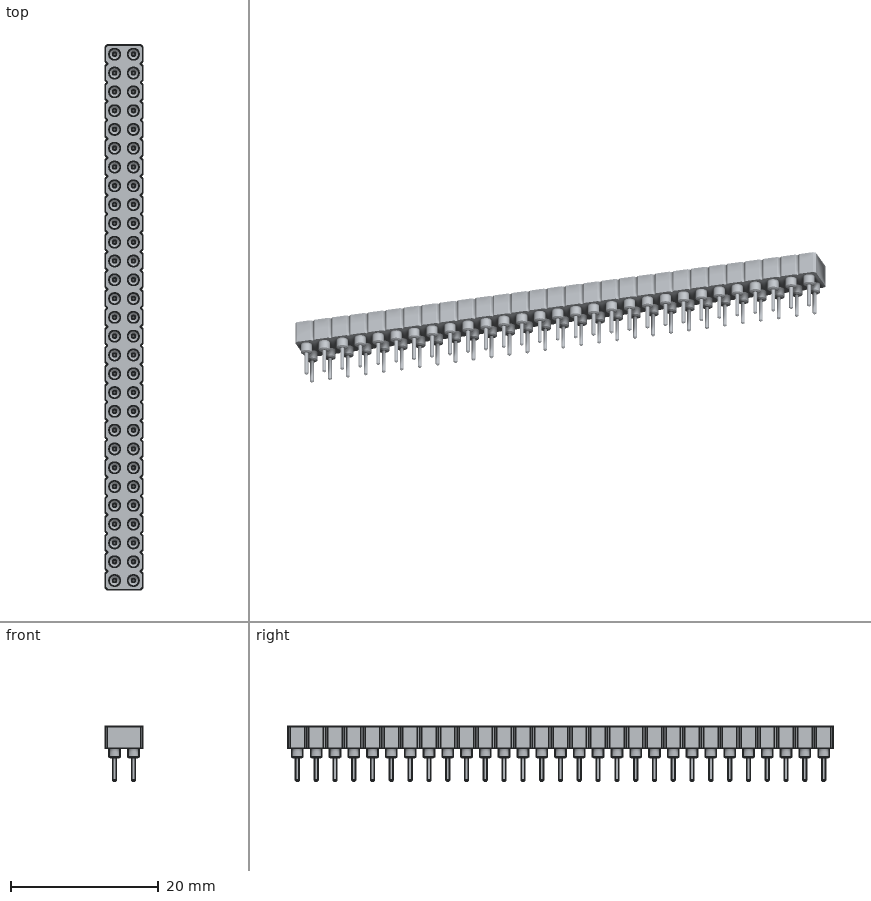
import cadquery as cq

pitch = 2.54
row_count = 29
column_count = 2
housing_height = 2.97
corner_chamfer = 0.3

overall_height = 7.43
collar_diameter = 1.52
collar_length = 1.27
collar_chamfer_height = 0.15
collar_chamfer_inset = 0.25
pin_diameter = 0.51
tip_chamfer = 0.19

funnel_diameter = 1.52
funnel_depth = 0.58
bore_diameter = 0.51
bore_depth = 2.0

housing_width = column_count * pitch
housing_length = row_count * pitch
pin_end_z = housing_height - overall_height


def centred_positions(count):
    """Pitch-spaced coordinates, symmetric about zero."""
    return [(index - (count - 1) / 2) * pitch for index in range(count)]


contact_points = [
    (x, y)
    for x in centred_positions(column_count)
    for y in centred_positions(row_count)
]


def make_housing():
    """Block with a V notch between rows and chamfered end corners."""
    half_width = housing_width / 2
    flat_x = half_width - corner_chamfer
    half_flat = pitch / 2 - corner_chamfer
    left_side = [(-flat_x, -housing_length / 2)]
    for y in centred_positions(row_count):
        left_side.append((-half_width, y - half_flat))
        left_side.append((-half_width, y + half_flat))
        left_side.append((-flat_x, y + pitch / 2))
    right_side = [(-x, y) for x, y in reversed(left_side)]
    return cq.Workplane("XY").polyline(left_side + right_side).close().extrude(housing_height)


def revolve_about_z(profile):
    """Full turn of a closed (radius, height) profile about the Z axis."""
    outline = cq.Workplane("XZ").polyline(profile).close()
    return outline.revolve(360, (0, 0, 0), (0, 1, 0))


def make_contact():
    """Collar and pin below the housing, revolved about the contact axis."""
    collar_radius = collar_diameter / 2
    pin_radius = pin_diameter / 2
    profile = [
        (0, 0),
        (collar_radius, 0),
        (collar_radius, collar_chamfer_height - collar_length),
        (collar_radius - collar_chamfer_inset, -collar_length),
        (pin_radius, -collar_length),
        (pin_radius, pin_end_z + tip_chamfer),
        (pin_radius - tip_chamfer, pin_end_z),
        (0, pin_end_z),
    ]
    return revolve_about_z(profile)


def make_socket():
    """Conical lead-in narrowing to a blind bore, as a cutting body."""
    bore_radius = bore_diameter / 2
    profile = [
        (0, housing_height),
        (funnel_diameter / 2, housing_height),
        (bore_radius, housing_height - funnel_depth),
        (bore_radius, housing_height - bore_depth),
        (0, housing_height - bore_depth),
    ]
    return revolve_about_z(profile)


def at_contacts(body):
    """Copy a body to every contact position."""
    shape = body.val()
    return cq.Workplane("XY").pushPoints(contact_points).eachpoint(shape.located)


housing = make_housing()
contacts = at_contacts(make_contact())
sockets = at_contacts(make_socket())
result = housing.union(contacts).cut(sockets)